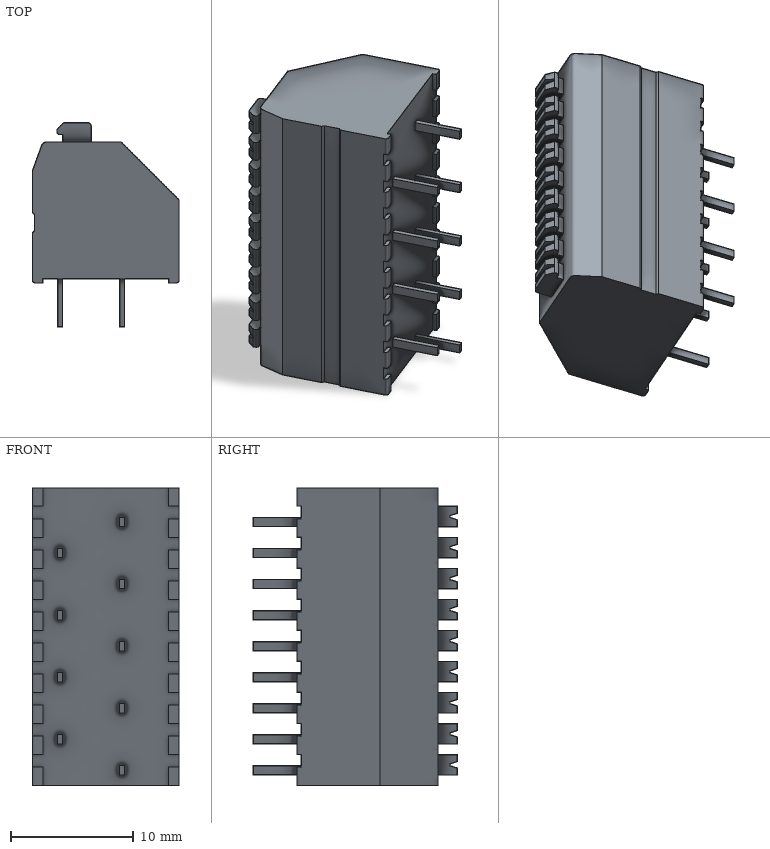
import cadquery as cq
import math


width = 12.0
length = 24.35
housing_height = 11.2
right_bevel = 4.75
shoulder_drop = 2.36
shoulder_angle = 20.0
shoulder_radius = 0.49

groove_bottom = 3.78
groove_top = 5.43
groove_depth = 0.17

foot_count = 10
foot_width = 0.85
foot_depth = 0.35
foot_length = 1.5
foot_radius = 0.25
pitch = (length - foot_length) / (foot_count - 1)

pole_count = foot_count - 1

row_spacing = 2 * pitch
left_row_x = 2.27
row_x = (left_row_x + row_spacing, left_row_x)
pin_width = 0.41
pin_height = 0.75
pin_length = 3.92
top_pin_inset = 2.8
top_pin_z = length - top_pin_inset

overall_depth = 16.7
lever_top = overall_depth - pin_length
lever_left = 2.48
lever_right = 4.82
lever_height = 1.68
lever_radius = 0.32
top_lever_z = length - foot_length - lever_height / 2
nose_left = 2.0
nose_bottom = 11.8
nose_bevel = 0.58
nose_radius = 0.25
notch_depth = nose_bevel
notch_mouth = 0.54
notch_floor = 0.15


def make_housing():
    shoulder_run = shoulder_drop * math.tan(math.radians(shoulder_angle))
    outline = [
        (0, 0),
        (width, 0),
        (width, housing_height - right_bevel),
        (width - right_bevel, housing_height),
        (shoulder_run, housing_height),
        (0, housing_height - shoulder_drop),
        (0, groove_top),
        (groove_depth, groove_top - groove_depth),
        (groove_depth, groove_bottom + groove_depth),
        (0, groove_bottom),
    ]
    body = cq.Workplane("XY").polyline(outline).close().extrude(length)
    shoulder_edge = cq.selectors.NearestToPointSelector((shoulder_run, housing_height, length / 2))
    return body.edges("|Z").edges(shoulder_edge).fillet(shoulder_radius)


def make_feet(bottom_z):
    """Pair of feet, each rounded along its outer lower edge."""
    left_foot = (
        cq.Workplane("XY", origin=(0, 0, bottom_z))
        .rect(foot_width, -foot_depth, centered=False)
        .extrude(foot_length)
        .edges("|Z and <X and <Y")
        .fillet(foot_radius)
    )
    right_foot = left_foot.mirror("YZ", (width / 2, 0, 0))
    return left_foot.union(right_foot)


def make_pin(x, z):
    return (
        cq.Workplane("XZ", origin=(x, 0, z))
        .rect(pin_width, pin_height)
        .extrude(pin_length)
    )


def make_lever(z):
    """Hooked lever with a tapered screwdriver notch across its top."""
    outline = [
        (lever_left, housing_height),
        (lever_right, housing_height),
        (lever_right, lever_top),
        (nose_left + nose_bevel, lever_top),
        (nose_left, lever_top - nose_bevel),
        (nose_left, nose_bottom),
        (lever_left, nose_bottom),
    ]
    lever = (
        cq.Workplane("XY", origin=(0, 0, z - lever_height / 2))
        .polyline(outline)
        .close()
        .extrude(lever_height)
    )
    top_corner = cq.selectors.NearestToPointSelector((lever_right, lever_top, z))
    nose_corner = cq.selectors.NearestToPointSelector((nose_left, nose_bottom, z))
    lever = lever.edges("|Z").edges(top_corner).fillet(lever_radius)
    lever = lever.edges("|Z").edges(nose_corner).fillet(nose_radius)

    notch_outline = [
        (lever_top, z - notch_mouth / 2),
        (lever_top, z + notch_mouth / 2),
        (lever_top - notch_depth, z + notch_floor / 2),
        (lever_top - notch_depth, z - notch_floor / 2),
    ]
    notch = cq.Workplane("YZ").polyline(notch_outline).close().extrude(width)
    return lever.cut(notch)


result = make_housing()

for index in range(foot_count):
    result = result.union(make_feet(index * pitch))

for index in range(pole_count):
    drop = index * pitch
    result = result.union(make_pin(row_x[index % 2], top_pin_z - drop))
    result = result.union(make_lever(top_lever_z - drop))